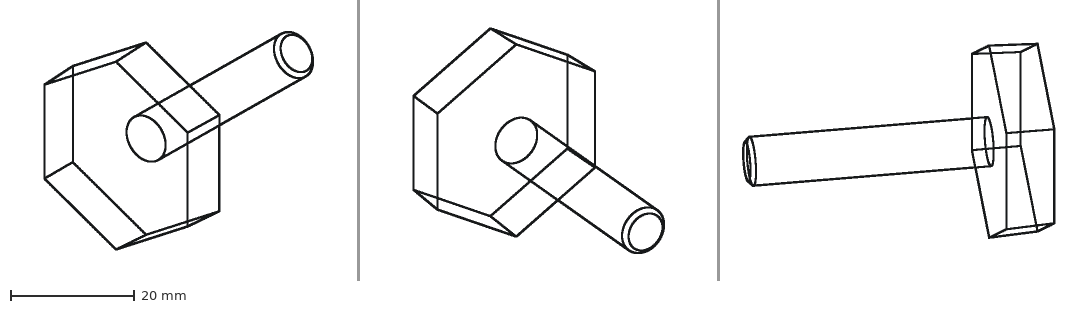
import cadquery as cq
import math

head_across_flats = 30.0
corner_up_angle = 90.0
head_thickness = 8.0
hexagon_half_angle = 30.0
head_draft_angle = 2.5

shank_diameter = 8.0
shank_length = 40.0
tip_diameter = 6.466
tip_chamfer = (shank_diameter - tip_diameter) / 2


def make_head():
    """Hexagonal head from Y = 0 to Y = -head_thickness, with corners pointing up and down."""
    across_corners = head_across_flats / math.cos(math.radians(hexagon_half_angle))
    return (
        cq.Workplane("XZ")
        .transformed(rotate=(0, 0, corner_up_angle))
        .polygon(6, across_corners)
        .extrude(head_thickness, taper=head_draft_angle)
    )


def make_shank():
    """Shank along +Y, starting on the wide face of the head."""
    return (
        cq.Workplane("XZ")
        .circle(shank_diameter / 2)
        .extrude(-shank_length)
        .faces(">Y")
        .chamfer(tip_chamfer)
    )


result = make_head().union(make_shank())